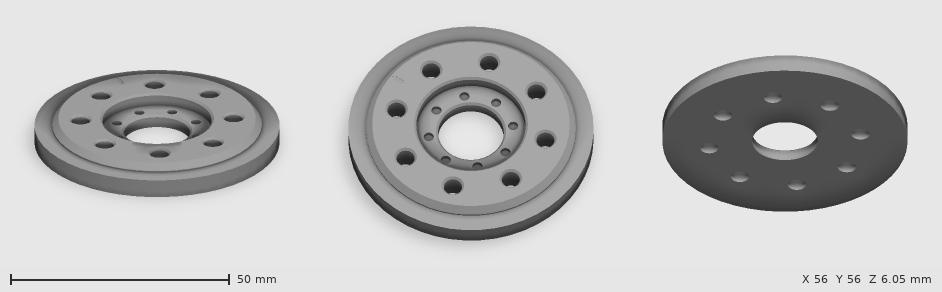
import cadquery as cq

flange_diameter = 56.0
total_height = 6.05
flange_height = 4.25
hub_diameter = 48.0
hub_chamfer = 1.45

recess_diameter = 25.0
recess_depth = 3.0
recess_chamfer = 0.5
bore_diameter = 15.0
bore_chamfer = 0.5

hole_count = 8
through_diameter = 4.15
through_chamfer = 0.5
through_ring_radius = 17.5
through_start_angle = 180 / hole_count

blind_diameter = 2.3
blind_depth = 1.0
blind_ring_radius = 9.75

slot_length = 3.2
slot_width = 1.05
slot_depth = 0.1
slot_center_x = -20.5

recess_floor = total_height - recess_depth


def chamfered_cutter(diameter, top, bottom, chamfer):
    """Round cutter about Z whose top end flares outward at 45 degrees."""
    radius = diameter / 2
    return (
        cq.Workplane("XZ")
        .moveTo(0, bottom)
        .lineTo(radius, bottom)
        .lineTo(radius, top - chamfer)
        .lineTo(radius + chamfer, top)
        .lineTo(0, top)
        .close()
        .revolve(360, (0, 0, 0), (0, 1, 0))
    )


flange = cq.Workplane("XY").circle(flange_diameter / 2).extrude(flange_height)
hub = (
    cq.Workplane("XY")
    .circle(hub_diameter / 2)
    .extrude(total_height)
    .faces(">Z")
    .chamfer(hub_chamfer)
)
result = flange.union(hub)

result = result.cut(chamfered_cutter(recess_diameter, total_height, recess_floor, recess_chamfer))
result = result.cut(chamfered_cutter(bore_diameter, recess_floor, 0, bore_chamfer))

through_cutter = chamfered_cutter(through_diameter, total_height, 0, through_chamfer)
for index in range(hole_count):
    angle = through_start_angle + index * 360 / hole_count
    cutter = through_cutter.translate((through_ring_radius, 0, 0)).rotate((0, 0, 0), (0, 0, 1), angle)
    result = result.cut(cutter)

blind_holes = (
    cq.Workplane("XY")
    .workplane(offset=recess_floor)
    .polarArray(blind_ring_radius, 0, 360, hole_count)
    .circle(blind_diameter / 2)
    .extrude(-blind_depth)
)
result = result.cut(blind_holes)

index_slot = (
    cq.Workplane("XY")
    .workplane(offset=total_height)
    .center(slot_center_x, 0)
    .slot2D(slot_length, slot_width)
    .extrude(-slot_depth)
)
result = result.cut(index_slot)